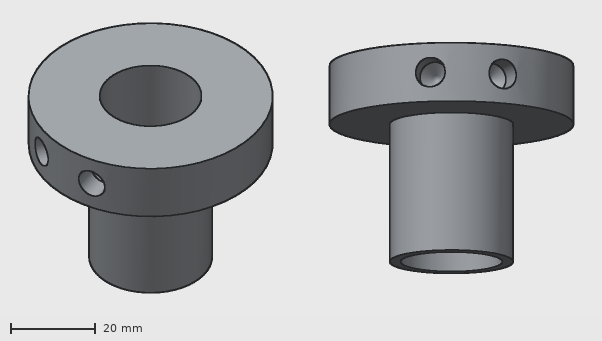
import cadquery as cq

flange_diameter = 57.5
flange_thickness = 14.05
overall_height = 47.0
tube_diameter = 29.1
bore_diameter = 24.0

hole_diameter = 7.0
hole_angles = (10.0, 45.0)
hole_depth = 6.0

flange_radius = flange_diameter / 2
hole_radius = hole_diameter / 2
cone_length = hole_radius
tube_length = overall_height - flange_thickness
hole_height = tube_length + flange_thickness / 2


def make_hole_cutter(angle):
    """Radial drill shape: straight shank and conical tip pointing at the axis."""
    shoulder_distance = flange_radius - hole_depth
    tip_distance = shoulder_distance - cone_length
    return (
        cq.Workplane("XY")
        .moveTo(0, -flange_radius)
        .lineTo(hole_radius, -flange_radius)
        .lineTo(hole_radius, -shoulder_distance)
        .lineTo(0, -tip_distance)
        .close()
        .revolve(360, (0, 0, 0), (0, 1, 0))
        .translate((0, 0, hole_height))
        .rotate((0, 0, 0), (0, 0, 1), angle)
    )


def make_flanged_bushing():
    """Tube with a thick flange on top, a through bore and radial rim holes."""
    tube = cq.Workplane("XY").circle(tube_diameter / 2).extrude(tube_length)
    flange = (
        cq.Workplane("XY", origin=(0, 0, tube_length))
        .circle(flange_radius)
        .extrude(flange_thickness)
    )
    bore = cq.Workplane("XY").circle(bore_diameter / 2).extrude(overall_height)
    bushing = tube.union(flange).cut(bore)
    for angle in hole_angles:
        bushing = bushing.cut(make_hole_cutter(angle))
    return bushing


flanged_bushing = make_flanged_bushing()

result = cq.Compound.makeCompound([flanged_bushing.solids().val()])